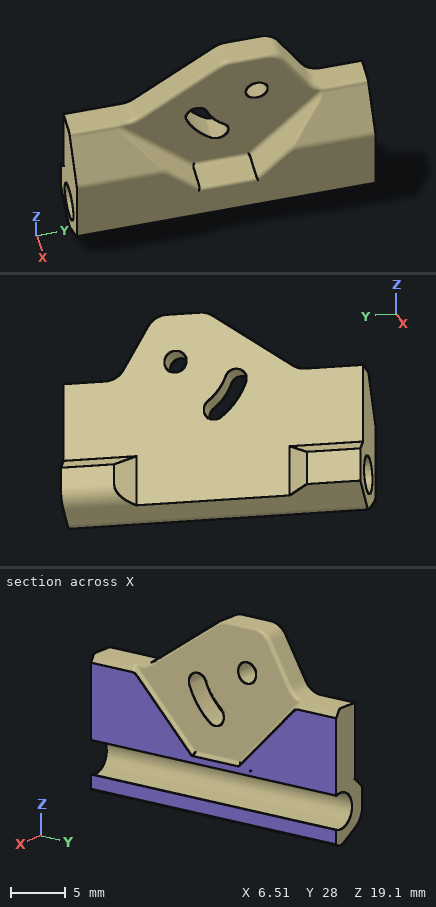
import cadquery as cq
import math

LENGTH = 28.0
HALF_LENGTH = LENGTH / 2

BORE_DIAMETER = 3.5
PAD_X = -3.33
PLATE_BACK_X = -2.23
PLATE_THICKNESS = 2.47
PLATE_FRONT_X = PLATE_BACK_X + PLATE_THICKNESS
BODY_FRONT_X = 3.18
APEX_Z = -3.475
BACK_UNDERSIDE_ANGLE = 30.0
FRONT_UNDERSIDE_ANGLE = 32.5
INCLINE_TOP_Z = 9.65
INCLINE_ANGLE = 54.4
SECTION_RADIUS = 1.0

TOP_Z = 15.81
SHOULDER_Z = 9.83
PEAK_REAR_Y = 5.52
PEAK_FRONT_Y = 0.55
REAR_SLOPE_ANGLE = 60.0
FRONT_SLOPE_ANGLE = 35.0
OUTLINE_RADIUS = 2.0

PAD_TOP_Z = 1.52
PAD_ROOT_Z = 2.5
PAD_FACE_LENGTH = 5.0
PAD_ROOT_LENGTH = 6.85
PAD_CORNER_RADIUS = 2.0

PIVOT_Y = 3.53
PIVOT_Z = 11.28
PIVOT_DIAMETER = 2.05
SLOT_WIDTH = 2.0
SLOT_ARC_RADIUS = 6.0
SLOT_START_ANGLE = 20.0
SLOT_END_ANGLE = 52.5

POCKET_FLOOR_Z = 2.34
POCKET_FLOOR_REAR_Y = 2.87
POCKET_FLOOR_FRONT_Y = -2.46
POCKET_WALL_ANGLE = 46.0
EDGE_RADIUS = 0.4

CLEARANCE = 5.0
PICK_TOLERANCE = 0.01


def slope(angle):
    return math.tan(math.radians(angle))


def underside_z(x):
    """Height of the V-shaped underside, whose sharp apex lies at X = 0."""
    angle = FRONT_UNDERSIDE_ANGLE if x > 0 else BACK_UNDERSIDE_ANGLE
    return APEX_Z + abs(x) * slope(angle)


def extrude_along_y(sketch, y_start, y_end):
    """Extrude an XZ sketch (drawn on a plane whose normal is -Y) from y_start to y_end."""
    return sketch.extrude(y_start - y_end).translate((0, y_start, 0))


def make_body():
    """Plate and thick lower body over the full length, rounded at the section corners."""
    corner_z = INCLINE_TOP_Z - (BODY_FRONT_X - PLATE_FRONT_X) * slope(INCLINE_ANGLE)
    section = cq.Workplane("XZ").polyline([
        (PLATE_BACK_X, underside_z(PLATE_BACK_X)),
        (0, APEX_Z),
        (BODY_FRONT_X, underside_z(BODY_FRONT_X)),
        (BODY_FRONT_X, corner_z),
        (PLATE_FRONT_X, INCLINE_TOP_Z),
        (PLATE_FRONT_X, TOP_Z),
        (PLATE_BACK_X, TOP_Z),
    ]).close()
    body = extrude_along_y(section, -HALF_LENGTH, HALF_LENGTH)
    rounded = [
        (0, APEX_Z),
        (BODY_FRONT_X, underside_z(BODY_FRONT_X)),
        (BODY_FRONT_X, corner_z),
        (PLATE_FRONT_X, INCLINE_TOP_Z),
    ]
    for x, z in rounded:
        edge = body.edges(cq.selectors.NearestToPointSelector((x, 0, z)))
        body = edge.fillet(SECTION_RADIUS)
    return body


def make_outline():
    """Prism along X with the upright's shoulder and peak outline."""
    rise = TOP_Z - SHOULDER_Z
    rear_foot_y = PEAK_REAR_Y + rise / slope(REAR_SLOPE_ANGLE)
    front_foot_y = PEAK_FRONT_Y - rise / slope(FRONT_SLOPE_ANGLE)
    corners = [
        (front_foot_y, SHOULDER_Z),
        (PEAK_FRONT_Y, TOP_Z),
        (PEAK_REAR_Y, TOP_Z),
        (rear_foot_y, SHOULDER_Z),
    ]
    bottom = APEX_Z - CLEARANCE
    outline = (
        cq.Workplane("YZ")
        .polyline([(-HALF_LENGTH, bottom), (-HALF_LENGTH, SHOULDER_Z)]
                  + corners
                  + [(HALF_LENGTH, SHOULDER_Z), (HALF_LENGTH, bottom)])
        .close()
        .extrude(2 * CLEARANCE, both=True)
    )
    for y, z in corners:
        edge = outline.edges("|X").edges(cq.selectors.NearestToPointSelector((0, y, z)))
        outline = edge.fillet(OUTLINE_RADIUS)
    return outline


def make_pocket():
    """Flared pocket that opens the body in front of the plate."""
    top = SHOULDER_Z + CLEARANCE
    flare = (top - POCKET_FLOOR_Z) / slope(POCKET_WALL_ANGLE)
    return (
        cq.Workplane("YZ", origin=(PLATE_FRONT_X, 0, 0))
        .polyline([
            (POCKET_FLOOR_FRONT_Y, POCKET_FLOOR_Z),
            (POCKET_FLOOR_REAR_Y, POCKET_FLOOR_Z),
            (POCKET_FLOOR_REAR_Y + flare, top),
            (POCKET_FLOOR_FRONT_Y - flare, top),
        ])
        .close()
        .extrude(BODY_FRONT_X - PLATE_FRONT_X + CLEARANCE)
    )


def round_pocket(body):
    """Fillet the pocket where it meets the plate, then round its outer rim."""
    half_width = HALF_LENGTH - CLEARANCE
    plate_joint = cq.selectors.BoxSelector(
        (PLATE_FRONT_X - PICK_TOLERANCE, -half_width, POCKET_FLOOR_Z - PICK_TOLERANCE),
        (PLATE_FRONT_X + PICK_TOLERANCE, half_width, SHOULDER_Z - EDGE_RADIUS),
    )
    outer_rim = cq.selectors.BoxSelector(
        (PLATE_FRONT_X + 2 * EDGE_RADIUS, -half_width, POCKET_FLOOR_Z - PICK_TOLERANCE),
        (BODY_FRONT_X + PICK_TOLERANCE, half_width, SHOULDER_Z),
    )
    body = body.edges(plate_joint).fillet(EDGE_RADIUS)
    return body.edges("not |X").edges(outer_rim).fillet(EDGE_RADIUS)


def round_top_edge(body):
    """Round the front edge of the shoulders and peak from end to end."""
    top_edge = cq.selectors.BoxSelector(
        (PLATE_FRONT_X - PICK_TOLERANCE, -HALF_LENGTH, SHOULDER_Z - PICK_TOLERANCE),
        (PLATE_FRONT_X + PICK_TOLERANCE, HALF_LENGTH, TOP_Z + PICK_TOLERANCE),
    )
    return body.edges("not |X").edges(top_edge).fillet(EDGE_RADIUS)


def make_pad(end, corner_radius=0.0):
    """Foot pad at one end of the back (end = 1 for +Y, -1 for -Y), bevelled on top and inside."""
    section = cq.Workplane("XZ").polyline([
        (0, APEX_Z),
        (PAD_X, underside_z(PAD_X)),
        (PAD_X, PAD_TOP_Z),
        (PLATE_BACK_X, PAD_ROOT_Z),
        (0, PAD_ROOT_Z),
    ]).close()
    bar = extrude_along_y(section, -HALF_LENGTH, HALF_LENGTH)
    if corner_radius > 0:
        lower_corner = cq.selectors.NearestToPointSelector((PAD_X, 0, underside_z(PAD_X)))
        bar = bar.edges(lower_corner).fillet(corner_radius)
    end_y = end * HALF_LENGTH
    root_y = end * (HALF_LENGTH - PAD_ROOT_LENGTH)
    footprint = (
        cq.Workplane("XY")
        .polyline([
            (PLATE_BACK_X, end_y),
            (PAD_X, end_y),
            (PAD_X, end * (HALF_LENGTH - PAD_FACE_LENGTH)),
            (PLATE_BACK_X, root_y),
        ])
        .close()
        .extrude(2 * CLEARANCE, both=True)
    )
    return bar.intersect(footprint)


def make_bore():
    circle = cq.Workplane("XZ").circle(BORE_DIAMETER / 2)
    return extrude_along_y(circle, -HALF_LENGTH, HALF_LENGTH)


def make_pivot_hole():
    return (
        cq.Workplane("YZ")
        .center(PIVOT_Y, PIVOT_Z)
        .circle(PIVOT_DIAMETER / 2)
        .extrude(2 * CLEARANCE, both=True)
    )


def slot_point(radius, angle):
    """Point at a radius from the pivot, at an angle below the -Y direction."""
    turn = math.radians(angle)
    return (PIVOT_Y - radius * math.cos(turn), PIVOT_Z - radius * math.sin(turn))


def make_arc_slot():
    """Round-ended slot that follows an arc about the pivot hole."""
    inner = SLOT_ARC_RADIUS - SLOT_WIDTH / 2
    outer = SLOT_ARC_RADIUS + SLOT_WIDTH / 2
    middle_angle = (SLOT_START_ANGLE + SLOT_END_ANGLE) / 2
    cap_angle = math.degrees(SLOT_WIDTH / 2 / SLOT_ARC_RADIUS)
    return (
        cq.Workplane("YZ")
        .moveTo(*slot_point(inner, SLOT_START_ANGLE))
        .threePointArc(slot_point(inner, middle_angle), slot_point(inner, SLOT_END_ANGLE))
        .threePointArc(slot_point(SLOT_ARC_RADIUS, SLOT_END_ANGLE + cap_angle),
                       slot_point(outer, SLOT_END_ANGLE))
        .threePointArc(slot_point(outer, middle_angle), slot_point(outer, SLOT_START_ANGLE))
        .threePointArc(slot_point(SLOT_ARC_RADIUS, SLOT_START_ANGLE - cap_angle),
                       slot_point(inner, SLOT_START_ANGLE))
        .close()
        .extrude(2 * CLEARANCE, both=True)
    )


part = round_pocket(make_body().cut(make_pocket()))
part = round_top_edge(part.intersect(make_outline()))
part = part.union(make_pad(1, PAD_CORNER_RADIUS)).union(make_pad(-1))
result = part.cut(make_bore()).cut(make_pivot_hole()).cut(make_arc_slot())